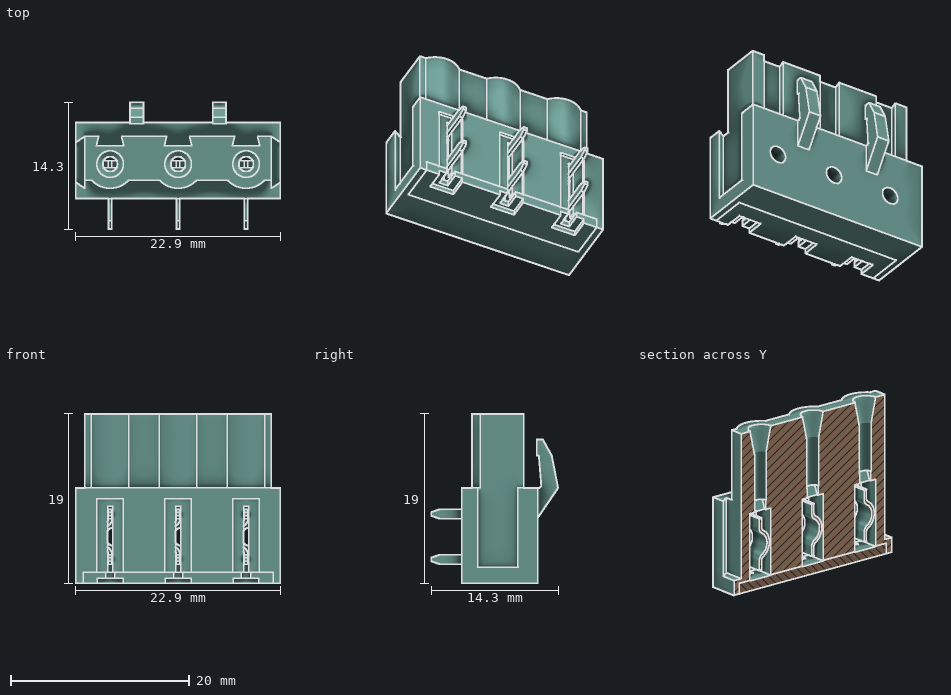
import cadquery as cq
import math


pole_count = 3
pole_pitch = 7.62
pole_x = [(i - (pole_count - 1) / 2) * pole_pitch for i in range(pole_count)]
pole_y = 3.85

block_length = 22.95
block_depth = 8.55
block_height = 10.7

tower_length = 20.95
tower_front_y = 2.07
tower_back_y = 6.95
tower_top_z = 19.0
lobe_radius = 2.85
lobe_y = 4.0
key_notch_depth = 1.05
key_notch_mouth = 2.57
key_notch_floor = 3.08

groove_depth = (block_length - tower_length) / 2
groove_bottom_z = 1.8
groove_front_y = lobe_y - lobe_radius
groove_back_y = tower_back_y
groove_mouth_inset = 0.67

latch_x = 4.64
latch_width = 1.52
latch_tip_y = 10.81
latch_root_z = 7.37
latch_shoulder_y = 10.1
latch_shoulder_z = 14.33
latch_top_z = 16.15
latch_top_y = 9.1
latch_hook_y = 8.4
latch_hook_step = 0.23
latch_inner_y = 8.9
latch_heel_chamfer = 0.2

entry_diameter = 2.98
bore_diameter = 1.65
entry_cone_depth = 2.98
throat_length = 1.55
throat_y_size = 0.78
throat_step_y_size = 1.15
throat_step_height = 0.57

channel_width = 2.98
channel_depth = 0.4
channel_top_z = 9.48
slot_width = 0.55
slot_top_z = 8.65
chamber_front_y = 1.17
chamber_back_y = 4.6
chamber_top_z = 9.18

cover_length = 21.33
cover_height = 1.25
stem_notch_width = 1.03
stem_notch_depth = 1.84
foot_notch_width = 2.9
foot_notch_height = 0.57
foot_notch_depth = 2.3

sheet = 0.41
bend_diameter = 0.9
bend_angle = math.radians(60)
bend_start = 1.97
pin_pitch = 5.1
pin_width = 1.08
pin_tip_width = 0.41
pin_taper = 0.95
pin_reach = 3.45
contact_z = 5.23
contact_back_y = pole_y + throat_y_size / 2

bend_radius = bend_diameter / 2 + sheet / 2
bend_end_height = bend_start - bend_radius * math.sin(bend_angle)
bulge_radius = bend_end_height / math.sin(bend_angle)
bulge_x = (bulge_radius + bend_radius) * math.cos(bend_angle) - bend_radius

window_diameter = 2.07


def box(x_size, y_range, z_range, x=0.0):
    """Block centred on x that spans the given Y and Z ranges."""
    y0, y1 = y_range
    z0, z1 = z_range
    return cq.Workplane("XY").box(x_size, y1 - y0, z1 - z0).translate((x, (y0 + y1) / 2, (z0 + z1) / 2))


def make_tower():
    height = tower_top_z - block_height
    tower = box(tower_length, (tower_front_y, tower_back_y), (block_height, tower_top_z))
    base = cq.Workplane("XY", origin=(0, 0, block_height))
    for x in pole_x:
        front_half = box(2 * lobe_radius, (groove_front_y, lobe_y), (block_height, tower_top_z), x)
        lobe = base.center(x, lobe_y).circle(lobe_radius).extrude(height).intersect(front_half)
        tower = tower.union(lobe)
    floor_y = tower_back_y - key_notch_depth
    for x in pole_x:
        notch = (
            base.moveTo(x - key_notch_mouth / 2, tower_back_y)
            .lineTo(x - key_notch_floor / 2, floor_y)
            .lineTo(x + key_notch_floor / 2, floor_y)
            .lineTo(x + key_notch_mouth / 2, tower_back_y)
            .close()
            .extrude(height)
        )
        tower = tower.cut(notch)
    return tower


def make_end_groove(side):
    """Dovetail groove at the +X (side = 1) or -X (side = -1) end."""
    outer_x = side * block_length / 2
    inner_x = side * (block_length / 2 - groove_depth)
    return (
        cq.Workplane("XY", origin=(0, 0, groove_bottom_z))
        .moveTo(inner_x, groove_front_y)
        .lineTo(outer_x, groove_front_y + groove_mouth_inset)
        .lineTo(outer_x, groove_back_y - groove_mouth_inset)
        .lineTo(inner_x, groove_back_y)
        .close()
        .extrude(block_height - groove_bottom_z)
    )


def make_latch(x):
    heel_z = block_height + latch_heel_chamfer
    return (
        cq.Workplane("YZ", origin=(x - latch_width / 2, 0, 0))
        .moveTo(block_depth, latch_root_z)
        .lineTo(latch_tip_y, block_height)
        .lineTo(latch_shoulder_y, latch_shoulder_z)
        .lineTo(latch_top_y, latch_top_z)
        .lineTo(latch_hook_y, latch_top_z)
        .lineTo(latch_hook_y, latch_shoulder_z)
        .lineTo(latch_hook_y + latch_hook_step, latch_shoulder_z)
        .lineTo(latch_inner_y, heel_z)
        .lineTo(latch_inner_y - latch_heel_chamfer, block_height)
        .lineTo(block_depth, block_height)
        .close()
        .extrude(latch_width)
    )


def make_throat_step(x, top_z, top_y_size, bottom_y_size):
    """Wedge that narrows along Y from its top to its bottom."""
    return (
        cq.Workplane("XY", origin=(x, pole_y, top_z))
        .rect(throat_length, top_y_size)
        .workplane(offset=-throat_step_height)
        .rect(throat_length, bottom_y_size)
        .loft()
    )


def make_wire_entry(x):
    """Conical mouth, round bore and two-step wedge-shaped throat that ends at the chamber."""
    throat_top_z = chamber_top_z + 2 * throat_step_height
    cone_bottom_z = tower_top_z - entry_cone_depth
    cone = (
        cq.Workplane("XY", origin=(x, pole_y, tower_top_z))
        .circle(entry_diameter / 2)
        .workplane(offset=-entry_cone_depth)
        .circle(bore_diameter / 2)
        .loft()
    )
    bore = (
        cq.Workplane("XY", origin=(x, pole_y, throat_top_z))
        .circle(bore_diameter / 2)
        .extrude(cone_bottom_z - throat_top_z)
    )
    upper_throat = make_throat_step(x, throat_top_z, bore_diameter, throat_step_y_size)
    lower_throat = make_throat_step(x, throat_top_z - throat_step_height, throat_step_y_size, throat_y_size)
    return cone.union(bore).union(upper_throat).union(lower_throat)


def make_contact_space(x):
    """Front channel, pin slot, contact chamber and rear window of one pole."""
    channel = box(channel_width, (0, channel_depth), (cover_height, channel_top_z), x)
    slot = box(slot_width, (channel_depth, chamber_front_y), (cover_height, slot_top_z), x)
    chamber = box(channel_width, (chamber_front_y, chamber_back_y), (cover_height, chamber_top_z), x)
    window = (
        cq.Workplane("XZ", origin=(x + bulge_x, block_depth, contact_z))
        .circle(window_diameter / 2)
        .extrude(block_depth - chamber_back_y)
    )
    return channel.union(slot).union(chamber).union(window)


def make_cover_blank():
    return box(cover_length, (0, chamber_back_y), (0, cover_height))


def make_housing():
    housing = box(block_length, (0, block_depth), (0, block_height)).union(make_tower())
    for side in (-1, 1):
        housing = housing.cut(make_end_groove(side))
        housing = housing.union(make_latch(side * latch_x))
    housing = housing.cut(make_cover_blank())
    for x in pole_x:
        housing = housing.cut(make_contact_space(x)).cut(make_wire_entry(x))
    return housing


def make_cover():
    """Plate flush with the front and underside, with a T-shaped notch below each pole."""
    cover = make_cover_blank()
    for x in pole_x:
        cover = cover.cut(box(stem_notch_width, (0, stem_notch_depth), (0, cover_height), x))
        cover = cover.cut(box(foot_notch_width, (0, foot_notch_depth), (0, foot_notch_height), x))
    return cover


def make_contact_strip():
    """Bent sheet inside the chamber, at x = 0."""
    end_height = pin_pitch / 2 + pin_width / 2
    bend_x = -bend_radius

    def bend_point(radius, angle, side):
        return (bend_x + radius * math.cos(angle), side * (bend_start - radius * math.sin(angle)))

    outer = bend_radius + sheet / 2
    inner = bend_radius - sheet / 2
    bulge_inner = bulge_radius - sheet / 2
    bulge_outer = bulge_radius + sheet / 2
    return (
        cq.Workplane("XZ", origin=(0, contact_back_y, contact_z))
        .moveTo(sheet / 2, end_height)
        .lineTo(sheet / 2, bend_start)
        .threePointArc(bend_point(outer, bend_angle / 2, 1), bend_point(outer, bend_angle, 1))
        .threePointArc((bulge_x - bulge_inner, 0), bend_point(outer, bend_angle, -1))
        .threePointArc(bend_point(outer, bend_angle / 2, -1), (sheet / 2, -bend_start))
        .lineTo(sheet / 2, -end_height)
        .lineTo(-sheet / 2, -end_height)
        .lineTo(-sheet / 2, -bend_start)
        .threePointArc(bend_point(inner, bend_angle / 2, -1), bend_point(inner, bend_angle, -1))
        .threePointArc((bulge_x - bulge_outer, 0), bend_point(inner, bend_angle, 1))
        .threePointArc(bend_point(inner, bend_angle / 2, 1), (-sheet / 2, bend_start))
        .lineTo(-sheet / 2, end_height)
        .close()
        .extrude(contact_back_y - chamber_front_y)
    )


def make_pin(z):
    """Flat solder pin with a tapered tip, at x = 0."""
    taper_y = pin_taper - pin_reach
    return (
        cq.Workplane("YZ", origin=(-sheet / 2, 0, z))
        .moveTo(chamber_front_y, pin_width / 2)
        .lineTo(taper_y, pin_width / 2)
        .lineTo(-pin_reach, pin_tip_width / 2)
        .lineTo(-pin_reach, -pin_tip_width / 2)
        .lineTo(taper_y, -pin_width / 2)
        .lineTo(chamber_front_y, -pin_width / 2)
        .close()
        .extrude(sheet)
    )


def make_contact(x):
    contact = make_contact_strip()
    for side in (-1, 1):
        contact = contact.union(make_pin(contact_z + side * pin_pitch / 2))
    return contact.translate((x, 0, 0))


housing = make_housing()
cover = make_cover()
contacts = [make_contact(x) for x in pole_x]

result = cq.Compound.makeCompound([housing.val(), cover.val(), *[contact.val() for contact in contacts]])